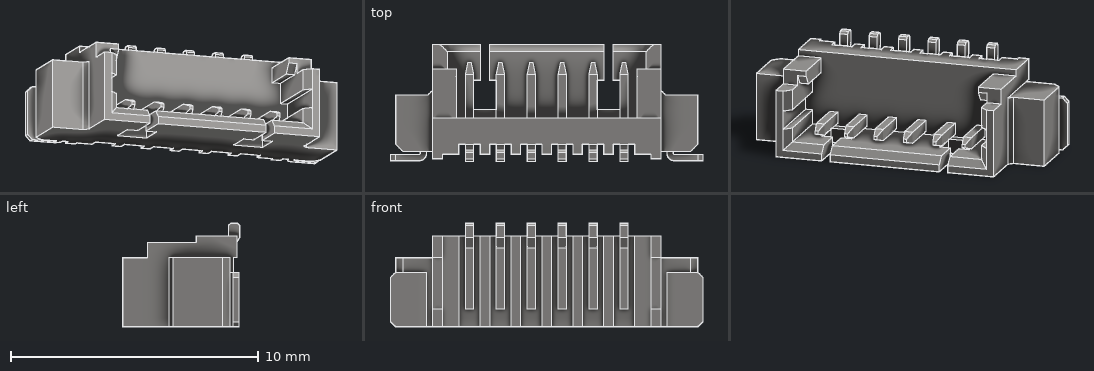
import cadquery as cq


body_width = 9.26
body_half = body_width / 2
wall_top = 2.8
lip_top = 3.42
roof_top = 3.68
lip_front_depth = 1.0
roof_front_depth = 2.98
rib_depth = 4.46

cavity_half = 4.02
floor_top = 0.6
lip_half = 3.66
lip_chamfer_length = 0.3
lip_chamfer_height = 0.4
mouth_chamfer = 0.3
latch_groove_bottom = 1.19
latch_groove_top = 1.96

pin_count = 6
pin_pitch = 1.25
pin_width = 0.34
pin_thickness = 0.47
pin_bottom = 0.72
pin_top = 4.2
pin_tip_depth = 0.73
pin_taper_length = 0.5
pin_point_width = 0.13
pin_leg_depth = 4.49
pin_back_depth = 4.75
pin_offset_bottom = 3.2
pin_offset_top = 3.62
pin_end_chamfer = 0.1
pin_positions = [(i - (pin_count - 1) / 2) * pin_pitch for i in range(pin_count)]

channel_width = 0.86
channel_depth = 4.05
post_depth = 4.64
post_waist_depth = 4.49
post_width = 0.42
post_foot_height = 0.72

slot_center = pin_positions[-1] - pin_pitch / 2
slot_width = 0.36
slot_depth = 1.46
window_width = pin_pitch
window_end_depth = 2.63

wing_half = 6.12
wing_front_depth = 2.05
wing_back_depth = 4.34
wing_chamfer = 0.3
wing_root_chamfer = 0.18

tab_half = 6.325
tab_top = 2.2
tab_thickness = 0.26
tab_back_depth = 4.72
tab_leg_half = 4.86
tab_bend_inner = 0.05
tab_bend_outer = tab_bend_inner + tab_thickness
tab_chamfer = 0.2


def block(x_range, depth_range, z_range):
    """Box between pairs of X, depth and Z limits."""
    x0, x1 = x_range
    d0, d1 = depth_range
    z0, z1 = z_range
    return cq.Workplane("XY").box(x1 - x0, d1 - d0, z1 - z0, centered=False).translate((x0, -d1, z0))


def side_prism(depth_z_points, width):
    """Prism of a (depth, Z) outline, centred on X = 0."""
    points = [(-depth, z) for depth, z in depth_z_points]
    return cq.Workplane("YZ").polyline(points).close().extrude(width / 2, both=True)


def both_sides(right_half):
    """The given solid on +X joined with its mirror image on -X."""
    return right_half.union(right_half.mirror("YZ"))


def make_shell():
    outline = [
        (0, 0),
        (0, wall_top),
        (lip_front_depth, wall_top),
        (lip_front_depth, lip_top),
        (roof_front_depth, lip_top),
        (roof_front_depth, roof_top),
        (rib_depth, roof_top),
        (rib_depth, 0),
    ]
    return side_prism(outline, body_width)


def make_cavity():
    """Open-topped cavity with a flared mouth and a latch groove along each side wall."""
    main = block((-cavity_half, cavity_half), (0, roof_front_depth), (floor_top, roof_top))
    groove_half = cavity_half + mouth_chamfer
    latch_grooves = block(
        (-groove_half, groove_half), (0, roof_front_depth), (latch_groove_bottom, latch_groove_top)
    )
    flare = (
        cq.Workplane("XZ")
        .center(0, (roof_top + floor_top - mouth_chamfer) / 2)
        .rect(2 * groove_half, roof_top - floor_top + mouth_chamfer)
        .workplane(offset=mouth_chamfer)
        .center(0, mouth_chamfer / 2)
        .rect(2 * cavity_half, roof_top - floor_top)
        .loft(ruled=True)
    )
    return main.union(latch_grooves).union(flare)


def make_lips():
    """Lips overhanging the cavity from the side walls, with the lower front corner cut off."""
    outline = [
        (lip_front_depth, lip_top),
        (lip_front_depth, wall_top + lip_chamfer_height),
        (lip_front_depth + lip_chamfer_length, wall_top),
        (roof_front_depth, wall_top),
        (roof_front_depth, lip_top),
    ]
    gap = block((-lip_half, lip_half), (0, roof_front_depth), (0, roof_top))
    return side_prism(outline, 2 * cavity_half).cut(gap)


def make_floor_slots():
    """Narrow slots from the mating face, each opening into a wider window."""
    slot_half = slot_width / 2
    window_half = window_width / 2
    slot = block((slot_center - slot_half, slot_center + slot_half), (0, slot_depth), (0, floor_top))
    window = block(
        (slot_center - window_half, slot_center + window_half),
        (slot_depth, window_end_depth),
        (0, floor_top),
    )
    return both_sides(slot.union(window))


def make_channel(x):
    half = channel_width / 2
    return block((x - half, x + half), (channel_depth, rib_depth), (0, roof_top))


def make_posts():
    """Pads at the back corners: a foot on the board, a head below the roof and a waist between."""
    x_range = (body_half - post_width, body_half)
    foot = block(x_range, (rib_depth, post_depth), (0, post_foot_height))
    head = block(x_range, (rib_depth, post_depth), (wall_top, roof_top))
    waist = block(x_range, (rib_depth, post_waist_depth), (post_foot_height, wall_top))
    return both_sides(foot.union(waist).union(head))


def make_wings():
    outline = [
        (body_half, -(wing_front_depth - wing_root_chamfer)),
        (body_half + wing_root_chamfer, -wing_front_depth),
        (wing_half, -wing_front_depth),
        (wing_half, -(wing_back_depth - wing_chamfer)),
        (wing_half - wing_chamfer, -wing_back_depth),
        (body_half, -wing_back_depth),
    ]
    return both_sides(cq.Workplane("XY").polyline(outline).close().extrude(wall_top))


def make_tabs():
    """Flat tabs whose legs run from the wings through a rounded bend."""
    back = -tab_back_depth
    front = back + tab_thickness
    leg_outer = tab_leg_half + tab_thickness
    strip = (
        cq.Workplane("XY")
        .moveTo(tab_leg_half, -wing_back_depth)
        .lineTo(tab_leg_half, back + tab_bend_outer)
        .radiusArc((tab_leg_half + tab_bend_outer, back), -tab_bend_outer)
        .lineTo(tab_half, back)
        .lineTo(tab_half, front)
        .lineTo(leg_outer + tab_bend_inner, front)
        .radiusArc((leg_outer, front + tab_bend_inner), tab_bend_inner)
        .lineTo(leg_outer, -wing_back_depth)
        .close()
        .extrude(tab_top)
    )
    return both_sides(strip.edges("|Y and >X").chamfer(tab_chamfer))


def make_pin():
    """Pin at X = 0: contact bar with a tapered point, upright leg, and offset solder end."""
    leg_front = pin_leg_depth - pin_thickness
    end_front = pin_back_depth - pin_thickness
    bar_top = pin_bottom + pin_thickness
    taper_depth = pin_tip_depth + pin_taper_length

    leg_outline = [
        (leg_front, pin_bottom),
        (leg_front, pin_offset_bottom),
        (end_front, pin_offset_top),
        (end_front, pin_top - pin_end_chamfer),
        (end_front + pin_end_chamfer, pin_top),
        (pin_back_depth - pin_end_chamfer, pin_top),
        (pin_back_depth, pin_top - pin_end_chamfer),
        (pin_back_depth, pin_offset_top),
        (pin_leg_depth, pin_offset_bottom),
        (pin_leg_depth, pin_bottom),
    ]
    leg = side_prism(leg_outline, pin_width)
    bar = block((-pin_width / 2, pin_width / 2), (taper_depth, leg_front), (pin_bottom, bar_top))
    point = (
        cq.Workplane("XZ", origin=(0, -taper_depth, (pin_bottom + bar_top) / 2))
        .rect(pin_width, pin_thickness)
        .workplane(offset=-pin_taper_length)
        .rect(pin_point_width, pin_point_width)
        .loft(ruled=True)
    )
    return leg.union(bar).union(point)


housing = make_shell().cut(make_cavity()).union(make_lips()).cut(make_floor_slots())
for pin_x in pin_positions:
    housing = housing.cut(make_channel(pin_x))
housing = housing.union(make_posts()).union(make_wings())

result = housing.union(make_tabs())
pin = make_pin()
for pin_x in pin_positions:
    result = result.union(pin.translate((pin_x, 0, 0)))